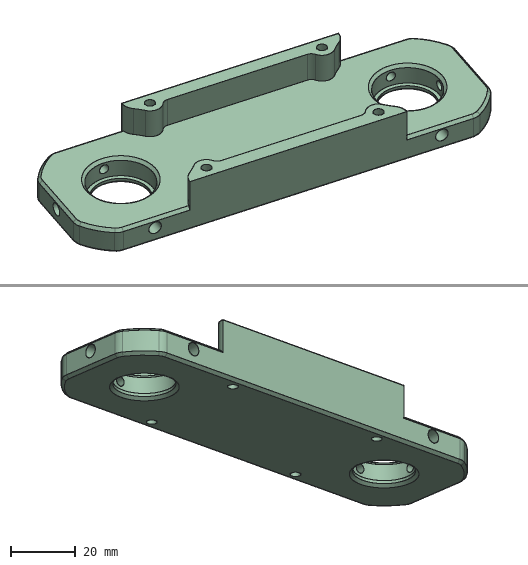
import cadquery as cq
import math

length = 145.0
width = 45.0
base_height = 9.0
edge_chamfer = 1.0
corner_radius = 25.7
corner_blend = 5.0

bore_y = (length - width) / 2
bore_diameter = 22.2
lip_diameter = 19.5
lip_height = 2.0
bore_chamfer = 1.0

radial_z = 5.5
radial_diameter = 3.2
radial_mouth_diameter = 4.4
radial_mouth_depth = 5.8

total_height = 19.0
wall_half_length = 37.8
wall_inner_x = 17.5
boss_x = 18.5
boss_y = 30.0
boss_radius = 4.0
boss_blend = 2.8
screw_diameter = 3.3

half_width = width / 2


def polar_point(center, radius, angle):
    return (center[0] + radius * math.cos(angle), center[1] + radius * math.sin(angle))


def rounded_end_square():
    """Square block cut by a concentric cylinder, with its vertical edges blended."""
    square = cq.Workplane("XY").rect(width, width).extrude(base_height)
    cylinder = cq.Workplane("XY").circle(corner_radius).extrude(base_height)
    return square.intersect(cylinder).edges("|Z").fillet(corner_blend)


def base_plate():
    middle = cq.Workplane("XY").rect(width, 2 * bore_y).extrude(base_height)
    plate = middle
    for side in (1, -1):
        outer_half = cq.Workplane("XY").center(0, side * half_width / 2).rect(width, half_width)
        end = rounded_end_square().intersect(outer_half.extrude(base_height))
        plate = plate.union(end.translate((0, side * bore_y, 0)))
    return plate.clean().faces("<Z or >Z").chamfer(edge_chamfer)


def half_wall():
    """Half of the +X wall, from the middle of the part to its +Y end."""
    bore_center = (0, bore_y)
    boss_distance = math.hypot(boss_x, bore_y - boss_y)
    relief_radius = boss_distance - boss_radius
    boss_angle = math.atan2(boss_y - bore_y, boss_x)
    relief_start = polar_point(bore_center, relief_radius, boss_angle)

    end_gap = bore_y - wall_half_length
    end_round = (half_width**2 + end_gap**2 - relief_radius**2) / (2 * (relief_radius - end_gap))
    round_center = (half_width, wall_half_length - end_round)
    round_angle = math.atan2(round_center[1] - bore_y, half_width)
    relief_mid = polar_point(bore_center, relief_radius, (boss_angle + round_angle) / 2)
    relief_end = polar_point(bore_center, relief_radius, round_angle)
    round_mid = polar_point(round_center, end_round, (round_angle + 1.5 * math.pi) / 2)
    round_end = (half_width, wall_half_length)

    blend_x = wall_inner_x - boss_blend
    center_gap = boss_radius + boss_blend
    blend_y = boss_y - math.sqrt(center_gap**2 - (boss_x - blend_x) ** 2)
    tangent_angle = math.atan2(boss_y - blend_y, boss_x - blend_x)
    blend_center = (blend_x, blend_y)
    blend_mid = polar_point(blend_center, boss_blend, tangent_angle / 2)
    blend_end = polar_point(blend_center, boss_blend, tangent_angle)

    return (
        cq.Workplane("XY")
        .moveTo(wall_inner_x, 0)
        .lineTo(wall_inner_x, blend_y)
        .threePointArc(blend_mid, blend_end)
        .threePointArc((boss_x - boss_radius, boss_y), relief_start)
        .threePointArc(relief_mid, relief_end)
        .threePointArc(round_mid, round_end)
        .lineTo(half_width, 0)
        .close()
        .extrude(total_height)
    )


def side_walls():
    upper = half_wall()
    wall = upper.union(upper.mirror("XZ"))
    wall = wall.edges("<Z and >X").chamfer(edge_chamfer)
    return wall.union(wall.mirror("YZ"))


def bore_cutter():
    """Stepped bore with chamfered mouths at the top and at the bottom lip."""
    bore_radius = bore_diameter / 2
    lip_radius = lip_diameter / 2
    return (
        cq.Workplane("XZ")
        .lineTo(lip_radius + bore_chamfer, 0)
        .lineTo(lip_radius, bore_chamfer)
        .lineTo(lip_radius, lip_height)
        .lineTo(bore_radius, lip_height)
        .lineTo(bore_radius, base_height - bore_chamfer)
        .lineTo(bore_radius + bore_chamfer, base_height)
        .lineTo(0, base_height)
        .close()
        .revolve(360, (0, 0, 0), (0, 1, 0))
    )


def radial_cutter():
    """Screw hole along +X from the bore axis, stepped wider towards the outer face."""
    return (
        cq.Workplane("XY")
        .lineTo(half_width, 0)
        .lineTo(half_width, radial_mouth_diameter / 2)
        .lineTo(half_width - radial_mouth_depth, radial_mouth_diameter / 2)
        .lineTo(half_width - radial_mouth_depth, radial_diameter / 2)
        .lineTo(0, radial_diameter / 2)
        .close()
        .revolve(360, (0, 0, 0), (1, 0, 0))
        .translate((0, 0, radial_z))
    )


def end_cutter():
    """Bore and its three radial holes, for the +Y end of the plate."""
    cutter = bore_cutter()
    for angle in (0, 90, 180):
        cutter = cutter.union(radial_cutter().rotate((0, 0, 0), (0, 0, 1), angle))
    return cutter.translate((0, bore_y, 0))


screw_holes = (
    cq.Workplane("XY")
    .rect(2 * boss_x, 2 * boss_y, forConstruction=True)
    .vertices()
    .circle(screw_diameter / 2)
    .extrude(total_height)
)

result = base_plate().union(side_walls()).cut(screw_holes)
result = result.cut(end_cutter()).cut(end_cutter().mirror("XZ"))